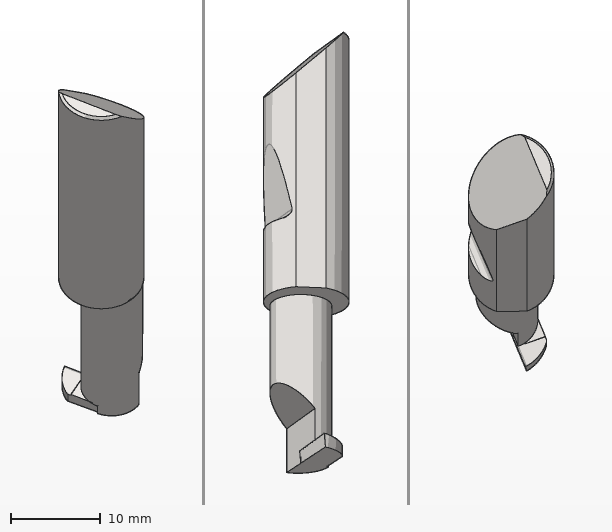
import cadquery as cq
import math

total_length = 50.8
shank_radius = 4.75
shank_bottom = 19.05

top_chamfer = 0.3
top_flat_width = 1.85
flat_end_y = 3.15
notch_top = 37.1
notch_floor = 28.45
notch_bottom = 27.55
notch_depth = 1.3

neck_radius = 3.45
neck_x = shank_radius - neck_radius
relief_z = 5.55

tip_x = -4.65
head_front_y = -3.25
head_top = 1.6
head_top_drop = 0.2
rake_rise = 0.15
ledge_z = 1.55
nose_end = (-2.8, -3.1)
nose_middle = (-4.05, -1.7)
head_corner_x = -2.5

end_slope_x = 0.03
end_slope_y = 0.05

margin = 2.55
span = 2 * (shank_radius + margin)


def prism_along_x(points):
    """Extrude a (y, z) outline across the whole width of the part."""
    return cq.Workplane("YZ").polyline(points).close().extrude(span / 2, both=True)


def make_shank():
    shank = (
        cq.Workplane("XY")
        .workplane(offset=shank_bottom)
        .circle(shank_radius)
        .extrude(total_length - shank_bottom)
        .faces(">Z")
        .chamfer(top_chamfer)
    )
    return shank.cut(end_slope()).cut(side_flat()).cut(clamping_notch())


def end_slope():
    """45 degree slope over the back of the upper end."""
    start_y = -shank_radius + top_flat_width
    run = shank_radius + margin - start_y
    return prism_along_x([
        (start_y - margin, total_length + margin),
        (start_y + run, total_length - run),
        (start_y + run, total_length + margin),
    ])


def side_flat():
    """Flat along the shank, following a chord of its circle."""
    flat_end_x = -math.sqrt(shank_radius**2 - flat_end_y**2)
    return (
        cq.Workplane("XY")
        .moveTo(-shank_radius, 0)
        .lineTo(flat_end_x, flat_end_y)
        .lineTo(-shank_radius - margin, flat_end_y)
        .lineTo(-shank_radius - margin, 0)
        .close()
        .extrude(total_length)
    )


def clamping_notch():
    """Shallow ramp in the back with a rounded lower end."""
    floor_y = shank_radius - notch_depth
    corner_radius = notch_floor - notch_bottom
    bend = corner_radius * (1 - math.sqrt(0.5))
    return (
        cq.Workplane("YZ")
        .moveTo(shank_radius, notch_top)
        .lineTo(floor_y, notch_floor)
        .threePointArc(
            (floor_y + bend, notch_bottom + bend),
            (floor_y + corner_radius, notch_bottom),
        )
        .lineTo(shank_radius + margin, notch_bottom)
        .lineTo(shank_radius + margin, notch_top)
        .close()
        .extrude(span / 2, both=True)
    )


def make_neck():
    """Round neck, halved near the tip and recessed to the front face of the head."""
    neck = cq.Workplane("XY").center(neck_x, 0).circle(neck_radius).extrude(shank_bottom)
    run = neck_radius + margin
    relief = prism_along_x([(0, -margin), (0, relief_z), (run, relief_z + run), (run, -margin)])
    recess = (
        cq.Workplane("XY")
        .box(span, margin, ledge_z, centered=False)
        .translate((neck_x - span, head_front_y - margin, 0))
    )
    return neck.cut(relief).cut(recess)


def make_head():
    """Curved cutting head with a sloped top and a leaning rake face."""
    plan = (
        cq.Workplane("XY")
        .moveTo(tip_x, rake_rise)
        .lineTo(tip_x, 0)
        .threePointArc(nose_middle, nose_end)
        .lineTo(head_corner_x, head_front_y)
        .lineTo(neck_x, head_front_y)
        .lineTo(neck_x, rake_rise)
        .close()
        .extrude(head_top)
    )
    side_profile = prism_along_x([
        (0, 0),
        (rake_rise, head_top),
        (0, head_top),
        (head_front_y, head_top - head_top_drop),
        (head_front_y, 0),
    ])
    return plan.intersect(side_profile).union(make_ledge())


def make_ledge():
    """Flat-topped block filling the corner between the round neck and the front of the head."""
    return (
        cq.Workplane("XY")
        .box(neck_radius, -head_front_y, ledge_z, centered=False)
        .translate((neck_x - neck_radius, head_front_y, 0))
    )


def below_end_face():
    """Everything below the tilted end face, which passes through the tip."""
    plane = cq.Plane(
        origin=(tip_x, 0, 0),
        xDir=(1, 0, end_slope_x),
        normal=(-end_slope_x, end_slope_y, 1),
    )
    return cq.Workplane(plane).rect(2 * span, 2 * span).extrude(-margin)


result = make_shank().union(make_neck()).union(make_head()).cut(below_end_face())